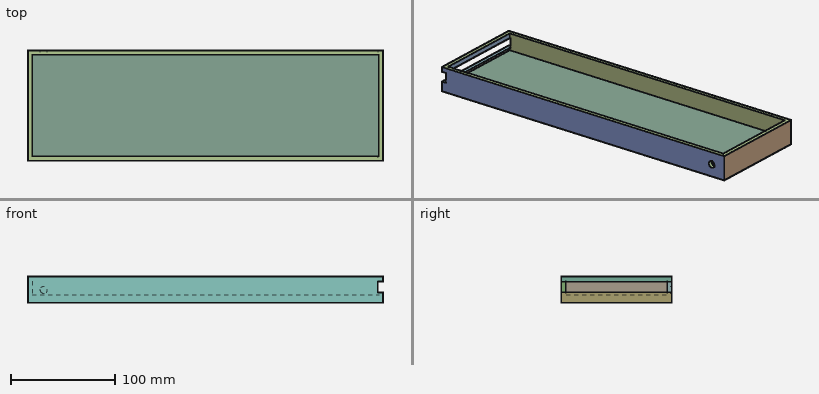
import cadquery as cq

length = 340.5
width = 106.0
height = 25.5
wall = 4.5
floor = 8.0

slot_depth = 5.0
slot_bottom = 10.2
slot_height = 10.2

hole_diameter = 6.8
hole_from_end = 15.0
hole_z = height / 2


def tray():
    """Rectangular block hollowed from above, leaving the floor and four walls."""
    block = cq.Workplane("XY").box(length, width, height, centered=(True, True, False))
    cavity = (
        cq.Workplane("XY")
        .workplane(offset=floor)
        .rect(length - 2 * wall, width - 2 * wall)
        .extrude(height - floor)
    )
    return block.cut(cavity)


def end_slot():
    """Bar that opens the +X wall and notches the ends of both side walls."""
    return (
        cq.Workplane("XY")
        .box(slot_depth, width, slot_height, centered=(True, True, False))
        .translate((length / 2 - slot_depth / 2, 0, slot_bottom))
    )


def side_hole():
    """Cylinder along Y that passes through the +Y wall only."""
    return (
        cq.Workplane("XZ", origin=(-length / 2 + hole_from_end, width / 2, hole_z))
        .circle(hole_diameter / 2)
        .extrude(wall)
    )


result = tray().cut(end_slot()).cut(side_hole())